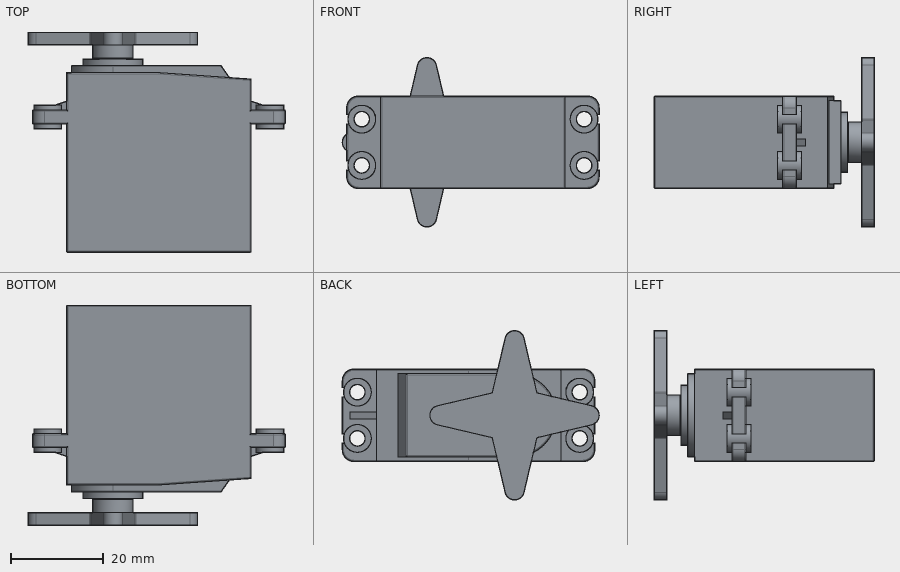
import cadquery as cq
import math


case_length = 39.9
case_width = 20.0
case_height = 38.85
case_front_x = -10.0
case_back_x = case_front_x + case_length
case_middle_x = (case_front_x + case_back_x) / 2
slope_start_x = 9.95
slope_drop = 1.4
edge_round = 0.3

ear_span = 54.6
ear_thickness = 3.05
ear_bottom_y = 27.7
ear_top_y = ear_bottom_y + ear_thickness
ear_corner_radius = 2.55

gusset_height = 1.9
gusset_slope_run = 3.0
gusset_length = gusset_slope_run * gusset_height
gusset_thickness = 1.5

grommet_diameter = 6.0
grommet_bore = 3.3
grommet_length = 5.1
grommet_spacing_x = 48.05
grommet_spacing_z = 10.0
slot_width = 2.0

cover_radius = 9.0
cover_height = 1.55
cover_top_y = case_height + cover_height
cover_end_top_x = 23.35
cover_end_slope = 0.7
collar_diameter = 13.0
collar_height = 1.4
collar_top_y = cover_top_y + collar_height

shaft_diameter = 5.85

horn_span = 36.6
horn_thickness = 2.7
horn_top_y = 47.55
horn_bottom_y = horn_top_y - horn_thickness
hub_diameter = 8.8
hub_gap = 0.15
hub_bottom_y = collar_top_y + hub_gap
arm_tip_radius = 2.1
arm_root_half_width = 4.85
arm_root_fillet = 0.35
arm_angles = (0, 90, 180, 270)

pick_margin = 0.55


def along_y(y):
    """Workplane whose normal is +Y at height y; local x is X and local y is -Z."""
    return cq.Workplane("XZ", origin=(0, y, 0)).transformed(rotate=(180, 0, 0))


def cylinder_y(diameter, bottom_y, top_y, x=0, z=0):
    """Cylinder with its axis along Y."""
    return along_y(bottom_y).center(x, -z).circle(diameter / 2).extrude(top_y - bottom_y)


def grommet_places():
    """X and Z of the four grommets, with the sign of the ear that each one sits in."""
    return [
        (side, case_middle_x + side * grommet_spacing_x / 2, level * grommet_spacing_z / 2)
        for side in (-1, 1)
        for level in (-1, 1)
    ]


def make_case_block():
    outline = [
        (case_front_x, 0),
        (case_back_x, 0),
        (case_back_x, case_height - slope_drop),
        (slope_start_x, case_height),
        (case_front_x, case_height),
    ]
    block = cq.Workplane("XY").polyline(outline).close().extrude(case_width / 2, both=True)
    top_edges = cq.selectors.BoxSelector(
        (case_front_x - pick_margin, case_height - slope_drop - pick_margin, -pick_margin),
        (case_back_x + pick_margin, case_height + pick_margin, pick_margin),
    )
    sharp = block.edges("|Z").edges(top_edges).vals()
    rounded = [edge for edge in block.edges().vals() if edge not in sharp]
    return block.newObject(rounded).fillet(edge_round)


def make_ear_plate():
    plate = along_y(ear_bottom_y).center(case_middle_x, 0).rect(ear_span, case_width).extrude(ear_thickness)
    plate = plate.edges("|Y").fillet(ear_corner_radius)
    return plate.faces("<Y or >Y").edges().fillet(edge_round)


def make_gusset(side):
    wall_x = case_middle_x + side * case_length / 2
    outline = [
        (case_middle_x, ear_top_y),
        (wall_x + side * gusset_length, ear_top_y),
        (wall_x, ear_top_y + gusset_height),
        (case_middle_x, ear_top_y + gusset_height),
    ]
    return cq.Workplane("XY").polyline(outline).close().extrude(gusset_thickness / 2, both=True)


def make_cover():
    """Flat cover, round about the output axis, with a slanted far end that dips to the sloped case top."""
    full_height = cover_height + slope_drop
    end_x = cover_end_top_x + cover_end_slope * full_height
    cover = (
        along_y(cover_top_y - full_height)
        .moveTo(end_x, cover_radius)
        .lineTo(0, cover_radius)
        .threePointArc((-cover_radius, 0), (0, -cover_radius))
        .lineTo(end_x, -cover_radius)
        .close()
        .extrude(full_height)
    )
    corner = [
        (cover_end_top_x, cover_top_y),
        (end_x, cover_top_y),
        (end_x, cover_top_y - full_height),
    ]
    slant = cq.Workplane("XY").polyline(corner).close().extrude(case_width / 2, both=True)
    return cover.cut(slant).faces(">Y").edges().fillet(edge_round)


def make_housing():
    housing = make_case_block().union(make_ear_plate())
    for side in (-1, 1):
        housing = housing.union(make_gusset(side))
    housing = housing.union(make_cover())
    housing = housing.union(cylinder_y(collar_diameter, cover_top_y, collar_top_y))
    for side, x, z in grommet_places():
        slot = (
            along_y(ear_bottom_y)
            .center(x + side * grommet_diameter / 2, -z)
            .rect(grommet_diameter, slot_width)
            .extrude(ear_thickness)
        )
        housing = housing.cut(slot).cut(cylinder_y(grommet_diameter, ear_bottom_y, ear_top_y, x, z))
    return housing


def make_shaft():
    return cylinder_y(shaft_diameter, collar_top_y, horn_bottom_y)


def make_horn_arm():
    """One tapered arm along +X with a round tip tangent to both sides."""
    tip_center_x = horn_span / 2 - arm_tip_radius
    run = tip_center_x - arm_root_half_width
    corner_distance = math.hypot(run, arm_root_half_width)
    lean = math.atan2(arm_root_half_width, run) - math.asin(arm_tip_radius / corner_distance)
    touch_x = tip_center_x + arm_tip_radius * math.sin(lean)
    touch_z = arm_tip_radius * math.cos(lean)
    return (
        along_y(horn_bottom_y)
        .moveTo(0, 0)
        .lineTo(arm_root_half_width, arm_root_half_width)
        .lineTo(touch_x, touch_z)
        .threePointArc((horn_span / 2, 0), (touch_x, -touch_z))
        .lineTo(arm_root_half_width, -arm_root_half_width)
        .close()
        .extrude(horn_thickness)
    )


def make_horn():
    arm = make_horn_arm()
    horn = cq.Workplane("XY")
    for angle in arm_angles:
        horn = horn.add(arm.rotate((0, 0, 0), (0, 1, 0), angle))
    horn = horn.combine()
    reach = arm_root_half_width + pick_margin
    root_corners = cq.selectors.BoxSelector(
        (-reach, horn_bottom_y, -reach),
        (reach, horn_top_y, reach),
    )
    horn = horn.edges("|Y").edges(root_corners).fillet(arm_root_fillet)
    horn = horn.union(cylinder_y(hub_diameter, hub_bottom_y, horn_bottom_y))
    return horn.cut(cylinder_y(shaft_diameter, hub_bottom_y, horn_bottom_y))


def make_grommet(x, z):
    bottom_y = ear_bottom_y + (ear_thickness - grommet_length) / 2
    top_y = bottom_y + grommet_length
    return cylinder_y(grommet_diameter, bottom_y, top_y, x, z).cut(
        cylinder_y(grommet_bore, bottom_y, top_y, x, z)
    )


housing = make_housing()
shaft = make_shaft()
horn = make_horn()
grommets = [make_grommet(x, z) for _, x, z in grommet_places()]

result = cq.Compound.makeCompound(
    [housing.val(), shaft.val(), horn.val(), *[grommet.val() for grommet in grommets]]
)